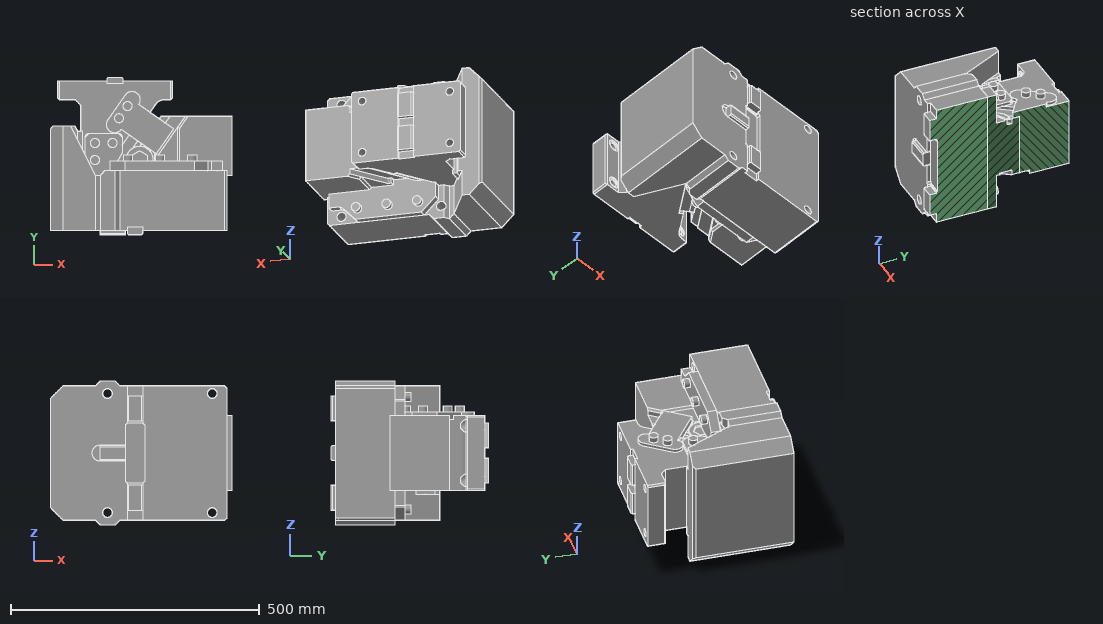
import cadquery as cq
import math

HOUSING_LENGTH = 355.0
HOUSING_HALF_HEIGHT = 135.5
WEDGE_TOP_Y = 210.2
BED_Y = 120.5
NOTCH_Y = 110.2

SEAT_START_X = 40.5
SEAT_SLOPE = 2.0
NOTCH_START_X = SEAT_START_X + (WEDGE_TOP_Y - NOTCH_Y) / SEAT_SLOPE
NOTCH_END_X = 100.0
BED_START_X = 108.8
LIP_WIDTH = 9.0
STRIP_LEFT_X = 54.8
STRIP_TOP_Y = WEDGE_TOP_Y - SEAT_SLOPE * (STRIP_LEFT_X - SEAT_START_X - LIP_WIDTH)

CORE_HALF_HEIGHT = 75.5
PLATE_THICKNESS = 7.3
PLATE_TOP_Z = CORE_HALF_HEIGHT + PLATE_THICKNESS
RAIL_HALF_HEIGHT = 67.5

ARM_CENTER = (146.5, 238.0)
ARM_TILT = math.radians(35)
RAIL_START_U = 36.0
RAIL_END_U = 57.0

FLANGE_LEFT_X = 119.7
FLANGE_TOP_Y = 139.8
DRIVER_RIGHT_X = 365.0
DRIVER_LEFT_X = 255.0

FRONT_KEY_PROTRUSION = 8.8
KEY_CHAMFER = 2.75
BOLT_RADIUS = 9.0
BOLT_HEIGHT = 12.0


def tilted(u, v):
    """XY position of a point given in the tilted frame of the arm."""
    x = ARM_CENTER[0] + u * math.cos(ARM_TILT) + v * math.sin(ARM_TILT)
    y = ARM_CENTER[1] - u * math.sin(ARM_TILT) + v * math.cos(ARM_TILT)
    return (x, y)


def tilted_at_y(u, y):
    """XY position where the sliding line at distance u reaches height y."""
    v = (y - ARM_CENTER[1] + u * math.sin(ARM_TILT)) / math.cos(ARM_TILT)
    return tilted(u, v)


def seat_y(x):
    """Height of the sloped seat at x."""
    return WEDGE_TOP_Y - SEAT_SLOPE * (x - SEAT_START_X)


def prism_z(points, z_low, z_high):
    """Prism along Z from an XY outline."""
    return cq.Workplane("XY", origin=(0, 0, z_low)).polyline(points).close().extrude(z_high - z_low)


def prism_y(points, y_low, y_high):
    """Prism along Y from an XZ outline."""
    return cq.Workplane("XZ", origin=(0, y_low, 0)).polyline(points).close().extrude(y_low - y_high)


def box(x_low, x_high, y_low, y_high, z_low, z_high):
    """Box between two opposite corners."""
    size = (x_high - x_low, y_high - y_low, z_high - z_low)
    return cq.Workplane("XY", origin=(x_low, y_low, z_low)).box(*size, centered=False)


def cylinder_z(x, y, radius, z_low, z_high):
    """Cylinder along Z."""
    return cq.Workplane("XY", origin=(x, y, z_low)).circle(radius).extrude(z_high - z_low)


def cylinder_y(x, z, radius, y_low, y_high):
    """Cylinder along Y."""
    return cq.Workplane("XZ", origin=(x, y_low, z)).circle(radius).extrude(y_low - y_high)


def housing_block():
    """L-shaped block with a sloped seat and bevelled left and right corners."""
    left_bevel = 25.5
    right_bevel = 5.0
    edge_bevel_x = 4.7
    edge_bevel_y = 6.0
    profile = [
        (0, 0),
        (HOUSING_LENGTH, 0),
        (HOUSING_LENGTH, BED_Y),
        (BED_START_X, BED_Y),
        (NOTCH_END_X, NOTCH_Y),
        (NOTCH_START_X, NOTCH_Y),
        (SEAT_START_X, WEDGE_TOP_Y),
        (edge_bevel_x, WEDGE_TOP_Y),
        (0, WEDGE_TOP_Y - edge_bevel_y),
    ]
    ear_half_height = 290.0 / 2
    ear_rise = ear_half_height - HOUSING_HALF_HEIGHT
    ear_end_x = 139.5
    upper_edge = [
        (0, HOUSING_HALF_HEIGHT - left_bevel),
        (left_bevel, HOUSING_HALF_HEIGHT),
        (NOTCH_START_X, HOUSING_HALF_HEIGHT),
        (NOTCH_START_X + ear_rise, ear_half_height),
        (ear_end_x - ear_rise, ear_half_height),
        (ear_end_x, HOUSING_HALF_HEIGHT),
        (HOUSING_LENGTH - right_bevel, HOUSING_HALF_HEIGHT),
        (HOUSING_LENGTH, HOUSING_HALF_HEIGHT - right_bevel),
    ]
    lower_edge = [(x, -z) for x, z in reversed(upper_edge)]
    envelope = prism_y(upper_edge + lower_edge, 0, WEDGE_TOP_Y)
    return envelope.intersect(prism_z(profile, -ear_half_height, ear_half_height))


def seat_lip():
    """Small lip at the top of the sloped seat, beside the slider."""
    points = [
        (SEAT_START_X, WEDGE_TOP_Y),
        (SEAT_START_X + LIP_WIDTH, WEDGE_TOP_Y),
        (STRIP_LEFT_X, STRIP_TOP_Y),
        (STRIP_LEFT_X, seat_y(STRIP_LEFT_X)),
    ]
    return prism_z(points, -PLATE_TOP_Z, PLATE_TOP_Z)


def make_housing():
    housing = housing_block().union(seat_lip())

    housing = housing.cut(
        box(DRIVER_LEFT_X, HOUSING_LENGTH, NOTCH_Y, BED_Y, -CORE_HALF_HEIGHT, CORE_HALF_HEIGHT)
    )

    hole_radius = 9.5
    hole_left_x, hole_right_x = 114.5, 325.2
    hole_z = 119.7
    for x in (hole_left_x, hole_right_x):
        for z in (-hole_z, hole_z):
            housing = housing.cut(cylinder_y(x, z, hole_radius, 0, BED_Y))

    key_left, key_right = 154.5, 185.8
    keyway_depth = 6.5
    housing = housing.cut(
        box(key_left, key_right, 0, keyway_depth, -HOUSING_HALF_HEIGHT, HOUSING_HALF_HEIGHT)
    )
    pocket_widening = 4.0
    pocket_left = key_left - pocket_widening
    pocket_right = key_right + pocket_widening
    pocket_depth = 8.8
    pocket_half_height = 60.5
    pocket_corner = 4.5
    pocket = box(pocket_left, pocket_right, 0, pocket_depth, -pocket_half_height, pocket_half_height)
    housing = housing.cut(pocket.edges("|Y").chamfer(pocket_corner))

    side_key_left = 99.5
    slot_half_width = 16.0
    slot = box(side_key_left, pocket_left, 0, keyway_depth, -slot_half_width, slot_half_width)
    housing = housing.cut(slot.union(cylinder_y(side_key_left, 0, slot_half_width, 0, keyway_depth)))

    key_inner_z, key_outer_z = 64.5, 115.0
    for z_low, z_high in ((key_inner_z, key_outer_z), (-key_outer_z, -key_inner_z)):
        key = box(key_left, key_right, -FRONT_KEY_PROTRUSION, keyway_depth, z_low, z_high)
        housing = housing.union(key.faces("<Y").edges("|Z").chamfer(KEY_CHAMFER))
    side_half_width = 15.5
    side_key = box(
        side_key_left, pocket_left, -FRONT_KEY_PROTRUSION, keyway_depth, -side_half_width, side_half_width
    )
    return housing.union(side_key.faces("<Y").edges("|X").chamfer(KEY_CHAMFER))


HEAD_LEFT_X = 14.5
HEAD_RIGHT_X = 245.0
HEAD_TOP_Y = 300.8
HEAD_BOTTOM_Y = 262.8
NECK_BEVEL = 11.0
HEAD_MIDDLE_X = (HEAD_LEFT_X + HEAD_RIGHT_X) / 2


def slider_foot():
    """Outline points where the slider rests on the seat, the notch and the driver flange."""
    return [
        (NOTCH_START_X, NOTCH_Y),
        (NOTCH_END_X, NOTCH_Y),
        (BED_START_X, BED_Y),
        (FLANGE_LEFT_X, BED_Y),
        (FLANGE_LEFT_X, FLANGE_TOP_Y),
    ]


def slider_core():
    """T-shaped body between the head and the sloped seat."""
    neck_left_x = 60.5
    neck_right_u = 44.5
    corner_tangent = 11.0
    corner = tilted_at_y(neck_right_u, HEAD_BOTTOM_Y)
    arc_start = (
        corner[0] - corner_tangent * math.sin(ARM_TILT),
        corner[1] - corner_tangent * math.cos(ARM_TILT),
    )
    outline = cq.Workplane("XY", origin=(0, 0, -CORE_HALF_HEIGHT))
    outline = outline.moveTo(*tilted(RAIL_START_U, 0)).lineTo(*tilted(neck_right_u, 0)).lineTo(*arc_start)
    outline = outline.tangentArcPoint((corner[0] + corner_tangent, HEAD_BOTTOM_Y), relative=False)
    corners = [
        (HEAD_RIGHT_X, HEAD_BOTTOM_Y),
        (HEAD_RIGHT_X, HEAD_TOP_Y),
        (HEAD_LEFT_X, HEAD_TOP_Y),
        (HEAD_LEFT_X, HEAD_BOTTOM_Y),
        (neck_left_x - NECK_BEVEL, HEAD_BOTTOM_Y),
        (neck_left_x, HEAD_BOTTOM_Y - NECK_BEVEL),
        (neck_left_x, seat_y(neck_left_x)),
        *slider_foot(),
        tilted_at_y(RAIL_START_U, FLANGE_TOP_Y),
    ]
    for point in corners:
        outline = outline.lineTo(*point)
    core = outline.close().extrude(2 * CORE_HALF_HEIGHT)

    end_bevel = 3.3
    for end in ("<X", ">X"):
        core = core.faces(end).edges("not(>Y)").chamfer(end_bevel)
    return core


def slider_rail():
    """Lower rail along the sliding edge that faces the driver."""
    points = [
        tilted(RAIL_START_U, 0),
        tilted(RAIL_END_U, 0),
        tilted_at_y(RAIL_END_U, FLANGE_TOP_Y),
        tilted_at_y(RAIL_START_U, FLANGE_TOP_Y),
    ]
    return prism_z(points, -RAIL_HALF_HEIGHT, RAIL_HALF_HEIGHT)


def side_strip():
    """Strip on the left of the slider, standing on the seat beside the lip."""
    right_x = 64.5
    points = [
        (STRIP_LEFT_X, STRIP_TOP_Y),
        (STRIP_LEFT_X, seat_y(STRIP_LEFT_X)),
        (right_x, seat_y(right_x)),
        (right_x, STRIP_TOP_Y),
    ]
    return prism_z(points, -PLATE_TOP_Z, PLATE_TOP_Z)


def guide_plate():
    """Bolted plate above the seat: upper corners rounded below and bevelled above."""
    left_x, right_x, top_y = 69.7, 144.5, 195.3
    corner_size = 8.0
    foot_right_x = 135.0
    foot_bevel_y = 156.2
    points = [
        (left_x, top_y),
        (left_x, seat_y(left_x)),
        *slider_foot(),
        (foot_right_x, FLANGE_TOP_Y),
        (right_x, foot_bevel_y),
        (right_x, top_y),
    ]
    middle_z = CORE_HALF_HEIGHT + PLATE_THICKNESS / 2
    lower = prism_z(points, CORE_HALF_HEIGHT, middle_z).edges("|Z and >Y").fillet(corner_size)
    upper = prism_z(points, middle_z, PLATE_TOP_Z).edges("|Z and >Y").chamfer(corner_size)
    plate = lower.union(upper)
    bolt_left_x, bolt_right_x = 89.5, 125.0
    bolt_low_y, bolt_high_y = 141.5, 176.0
    bolt_places = ((bolt_left_x, bolt_high_y), (bolt_right_x, bolt_high_y), (bolt_left_x, bolt_low_y))
    for x, y in bolt_places:
        plate = plate.union(cylinder_z(x, y, BOLT_RADIUS, PLATE_TOP_Z, PLATE_TOP_Z + BOLT_HEIGHT))
    return plate


def hook_arm():
    """Tilted arm with a rounded root bolted to the core and a thicker free end."""
    half_width = 30.5
    root_radius = 16.5
    arm_end_u = 102.2
    bolt_half_spacing = 15.0

    def bar(u_low, u_high, reach, z_low):
        points = [tilted(u_low, -reach), tilted(u_high, -reach), tilted(u_high, reach), tilted(u_low, reach)]
        return prism_z(points, z_low, PLATE_TOP_Z)

    arm = bar(0, arm_end_u, half_width, CORE_HALF_HEIGHT)
    arm = arm.union(bar(-root_radius, root_radius, half_width, CORE_HALF_HEIGHT))
    arm = arm.union(bar(RAIL_START_U, arm_end_u, half_width, RAIL_HALF_HEIGHT))
    for side in (-1, 1):
        root_x, root_y = tilted(0, side * half_width)
        arm = arm.union(cylinder_z(root_x, root_y, root_radius, CORE_HALF_HEIGHT, PLATE_TOP_Z))
        bolt_x, bolt_y = tilted(0, side * bolt_half_spacing)
        arm = arm.union(cylinder_z(bolt_x, bolt_y, BOLT_RADIUS, PLATE_TOP_Z, PLATE_TOP_Z + BOLT_HEIGHT))
    return arm


def make_slider():
    slider = slider_core().union(slider_rail()).union(side_strip())

    hole_offset_x = 92.7
    hole_radius = 8.0
    counterbore_radius = 12.8
    counterbore_depth = 3.0
    hole_z = 54.8
    bore_low = HEAD_BOTTOM_Y - NECK_BEVEL
    bore_high = HEAD_BOTTOM_Y + counterbore_depth
    for x in (HEAD_MIDDLE_X - hole_offset_x, HEAD_MIDDLE_X + hole_offset_x):
        for z in (-hole_z, hole_z):
            slider = slider.cut(cylinder_y(x, z, hole_radius, HEAD_BOTTOM_Y, HEAD_TOP_Y))
            slider = slider.cut(cylinder_y(x, z, counterbore_radius, bore_low, bore_high))

    half_width = 16.5
    keyway_y = 295.3
    key_left, key_right = HEAD_MIDDLE_X - half_width, HEAD_MIDDLE_X + half_width
    slider = slider.cut(
        box(key_left, key_right, keyway_y, HEAD_TOP_Y, -CORE_HALF_HEIGHT, CORE_HALF_HEIGHT)
    )
    key_protrusion = 7.3
    key_top_y = HEAD_TOP_Y + key_protrusion
    key_inner_z, key_outer_z = 10.2, 60.5
    for z_low, z_high in ((key_inner_z, key_outer_z), (-key_outer_z, -key_inner_z)):
        key = box(key_left, key_right, keyway_y, key_top_y, z_low, z_high)
        slider = slider.union(key.faces(">Y").edges("|Z").chamfer(KEY_CHAMFER))
    return slider.union(guide_plate()).union(hook_arm())


GUIDE_START_U = 66.8
GUIDE_END_U = 107.0
BASE_EDGE_V = -32.5
DRIVER_TOP_Y = 230.0
BASE_LEFT_X = 208.8


def driver_flange():
    """Flange on the housing bed, bevelled on the left and cut away around the right holes."""
    left_bevel = 30.3
    right_bevel = 27.5
    right_bevel_x = 289.5
    step_x, step_half_height = 323.8, 105.0
    right_x = 345.5
    upper_edge = [
        (FLANGE_LEFT_X, HOUSING_HALF_HEIGHT - left_bevel),
        (FLANGE_LEFT_X + left_bevel, HOUSING_HALF_HEIGHT),
        (right_bevel_x, HOUSING_HALF_HEIGHT),
        (right_bevel_x + right_bevel, HOUSING_HALF_HEIGHT - right_bevel),
        (step_x, step_half_height),
        (right_x, step_half_height),
    ]
    lower_edge = [(x, -z) for x, z in reversed(upper_edge)]
    flange = prism_y(upper_edge + lower_edge, BED_Y, FLANGE_TOP_Y)
    first_bolt_x = 156.0
    bolt_pitch = 64.5
    bolt_z = 113.0
    bolt_top_y = FLANGE_TOP_Y + BOLT_HEIGHT
    for index in range(3):
        x = first_bolt_x + index * bolt_pitch
        for z in (-bolt_z, bolt_z):
            flange = flange.union(cylinder_y(x, z, BOLT_RADIUS, FLANGE_TOP_Y, bolt_top_y))
    return flange


def driver_slope_foot():
    """Point where the tilted end of the guide meets the left face of the main block."""
    v = (DRIVER_LEFT_X - tilted(GUIDE_END_U, 0)[0]) / math.sin(ARM_TILT)
    return tilted(GUIDE_END_U, v)


def driver_block():
    """Main block with its key below the flange and bevelled left edges."""
    edge_bevel = 4.5
    slope_top = tilted_at_y(GUIDE_END_U, DRIVER_TOP_Y)
    slope_foot = driver_slope_foot()
    points = [
        (DRIVER_LEFT_X, NOTCH_Y),
        (DRIVER_RIGHT_X, NOTCH_Y),
        (DRIVER_RIGHT_X, DRIVER_TOP_Y),
        slope_top,
        slope_foot,
    ]
    block = prism_z(points, -CORE_HALF_HEIGHT, CORE_HALF_HEIGHT)
    slope_middle = ((slope_top[0] + slope_foot[0]) / 2, (slope_top[1] + slope_foot[1]) / 2)
    left_middle = (DRIVER_LEFT_X, (NOTCH_Y + slope_foot[1]) / 2)
    edges = block.newObject([])
    for z in (CORE_HALF_HEIGHT, -CORE_HALF_HEIGHT):
        for middle in (slope_middle, left_middle):
            edges = edges.add(block.edges(cq.selectors.NearestToPointSelector((*middle, z))))
    return edges.chamfer(edge_bevel)


def driver_guides():
    """Web, stepped guide and base between the slider rail and the main block."""
    step_u = 81.8
    low_half_height, high_half_height = 56.5, 60.2
    guides = prism_z(
        [
            tilted(RAIL_END_U, 0),
            tilted(GUIDE_START_U, 0),
            tilted_at_y(GUIDE_START_U, FLANGE_TOP_Y),
            tilted_at_y(RAIL_END_U, FLANGE_TOP_Y),
        ],
        -RAIL_HALF_HEIGHT,
        RAIL_HALF_HEIGHT,
    )
    steps = ((GUIDE_START_U, step_u, low_half_height), (step_u, GUIDE_END_U, high_half_height))
    for u_low, u_high, half_height in steps:
        points = [
            tilted_at_y(u_low, FLANGE_TOP_Y),
            tilted_at_y(u_high, FLANGE_TOP_Y),
            tilted_at_y(u_high, DRIVER_TOP_Y),
            tilted_at_y(u_low, DRIVER_TOP_Y),
        ]
        guides = guides.union(prism_z(points, -half_height, half_height))
    base_half_height = 71.0
    inner_radius = 4.5
    edge_u = (BASE_LEFT_X - tilted(0, BASE_EDGE_V)[0]) / math.cos(ARM_TILT)
    inner_corner = tilted(GUIDE_END_U, BASE_EDGE_V)
    base_points = [
        (BASE_LEFT_X, FLANGE_TOP_Y),
        tilted(edge_u, BASE_EDGE_V),
        inner_corner,
        driver_slope_foot(),
        (DRIVER_LEFT_X, FLANGE_TOP_Y),
    ]
    base = prism_z(base_points, -base_half_height, base_half_height)
    inner_edge = cq.selectors.NearestToPointSelector((*inner_corner, 0))
    return guides.union(base.edges(inner_edge).fillet(inner_radius))


def socket_head():
    """Large round head with a hexagonal socket on a shank through the guide."""
    x, y = 179.2, 142.5
    radius = 27.0
    shank_radius = 22.0
    socket_diameter = 35.8
    socket_depth = 3.0
    top_z = RAIL_HALF_HEIGHT + socket_depth
    head = cylinder_z(x, y, radius, RAIL_HALF_HEIGHT, top_z)
    socket = cq.Workplane("XY", origin=(x, y, RAIL_HALF_HEIGHT))
    socket = socket.transformed(rotate=(0, 0, 90)).polygon(6, socket_diameter).extrude(socket_depth)
    below_flange = box(x - radius, x + radius, y - radius, BED_Y, 0, top_z)
    shank = cylinder_z(x, y, shank_radius, 0, RAIL_HALF_HEIGHT)
    return head.cut(socket).union(shank).cut(below_flange)


def make_driver():
    driver = driver_guides().union(socket_head()).union(driver_flange())
    return driver.union(driver_block())


housing = make_housing()
slider = make_slider()
driver = make_driver()

result = cq.Compound.makeCompound([housing.val(), slider.val(), driver.val()])